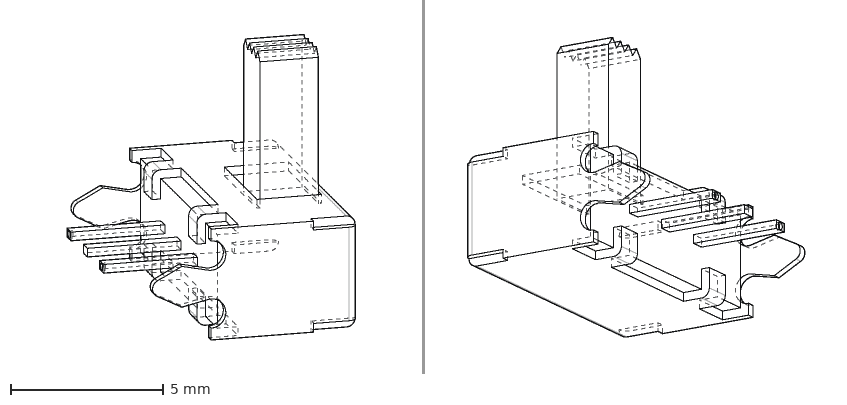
import cadquery as cq
import math

WIDTH = 10.0
HEIGHT = 3.8
DEPTH = 5.0
SHEET = 0.3
BEND_RADIUS = 0.3
CORNER_RELIEF_DEPTH = 1.5
MID_HEIGHT = HEIGHT / 2
INNER_WIDTH = WIDTH - 2 * SHEET

PIN_PITCH = 2.0
PIN_WIDTH = 0.5
PIN_THICKNESS = 0.3
PIN_LENGTH = 2.9
PIN_EMBED = 0.1
DIMPLE_DIAMETER = 0.25
DIMPLE_DEPTH = 0.1

TAB_WIDTH = 1.0
TAB_LENGTH = 1.0
TAB_OFFSET = PIN_PITCH + PIN_WIDTH / 2 + TAB_WIDTH / 2
NOTCH_DEPTH = 1.0

PRONG_LENGTH = 2.0
SHOULDER_REACH = 1.0
SHOULDER_HALF_HEIGHT = 0.7
TIP_RADIUS = 0.3
BITE_RADIUS = 0.5
BITE_OFFSET = 0.99

SLIDER_WIDTH = 2.0
SLIDER_DEPTH = 2.0
SLIDER_LEFT = 0.0
SLIDER_MID_Y = 3.5
SLIDER_TOP = 8.8
TOOTH_COUNT = 4
TOOTH_PITCH = SLIDER_WIDTH / TOOTH_COUNT
TOOTH_HEIGHT = 0.3
WINDOW_WIDTH = 2 * SLIDER_WIDTH
WINDOW_DEPTH = 2.2


def block(x_range, y_range, z_range):
    """Axis-aligned box from its limits along each axis."""
    spans = [high - low for low, high in (x_range, y_range, z_range)]
    corner = (x_range[0], y_range[0], z_range[0])
    return cq.Workplane("XY").box(*spans, centered=False).translate(corner)


def centred(middle, size):
    """Limits of a span of the given size about its middle."""
    return (middle - size / 2, middle + size / 2)


def make_housing():
    """Block with bent back edges and square reliefs at its four back corners."""
    core = block(centred(0, INNER_WIDTH), (SHEET, DEPTH), (0, HEIGHT))
    core = core.faces(">Y").edges("|X").fillet(BEND_RADIUS)
    wrap = block(centred(0, WIDTH), (SHEET, DEPTH), (SHEET, HEIGHT - SHEET))
    wrap = wrap.faces(">Y").edges("|Z").fillet(BEND_RADIUS)
    front = block(centred(0, WIDTH), (SHEET, DEPTH - CORNER_RELIEF_DEPTH), (0, HEIGHT))
    return core.union(wrap).union(front)


def cut_front_notches(housing):
    """Openings in the top and bottom sheets on either side of each tab."""
    tab_inner = TAB_OFFSET - TAB_WIDTH / 2
    tab_outer = TAB_OFFSET + TAB_WIDTH / 2
    side = INNER_WIDTH / 2
    for x_range in ((-side, -tab_outer), (-tab_inner, tab_inner), (tab_outer, side)):
        for bottom in (0, HEIGHT - SHEET):
            housing = housing.cut(block(x_range, (0, NOTCH_DEPTH), (bottom, bottom + SHEET)))
    return housing


def make_tabs():
    """Four tabs bent up or down over the front of the block."""
    tabs = cq.Workplane("XY")
    for x in (-TAB_OFFSET, TAB_OFFSET):
        lower = block(centred(x, TAB_WIDTH), (0, NOTCH_DEPTH), (0, TAB_LENGTH))
        lower = lower.edges("|X and <Y and <Z").fillet(BEND_RADIUS)
        upper = lower.mirror("XY").translate((0, 0, HEIGHT))
        tabs = tabs.union(lower).union(upper)
    return tabs


def tangent_point(centre, radius, outside):
    """Where the line from an outside point touches a circle, counterclockwise of that point."""
    run = outside[0] - centre[0]
    rise = outside[1] - centre[1]
    angle = math.atan2(rise, run) + math.acos(radius / math.hypot(run, rise))
    return (centre[0] + radius * math.cos(angle), centre[1] + radius * math.sin(angle))


def mirrored(point):
    """Same point on the lower half of the prong outline."""
    return (point[0], -point[1])


def make_prong(left):
    """Arrow-shaped prong in the plane of a side wall, starting at the wall's front edge."""
    bite_centre = (0, BITE_OFFSET)
    shoulder = (-SHOULDER_REACH, SHOULDER_HALF_HEIGHT)
    tip_centre = (TIP_RADIUS - PRONG_LENGTH, 0)
    neck = tangent_point(bite_centre, BITE_RADIUS, shoulder)
    tip_start = tangent_point(tip_centre, TIP_RADIUS, shoulder)
    outline = (
        cq.Workplane("YZ")
        .moveTo(*bite_centre)
        .lineTo(*neck)
        .lineTo(*shoulder)
        .lineTo(*tip_start)
        .threePointArc((-PRONG_LENGTH, 0), mirrored(tip_start))
        .lineTo(*mirrored(shoulder))
        .lineTo(*mirrored(neck))
        .lineTo(*mirrored(bite_centre))
        .close()
    )
    return outline.extrude(SHEET).translate((left, 0, MID_HEIGHT))


def make_side_wall(left):
    """Front strip of a side wall together with its prong."""
    strip = block((left, left + SHEET), (0, NOTCH_DEPTH), (0, HEIGHT))
    return strip.union(make_prong(left))


def make_bites(left):
    """Round bites that free the root of a prong, through the wall thickness only."""
    centres = [(0, MID_HEIGHT - BITE_OFFSET), (0, MID_HEIGHT + BITE_OFFSET)]
    bites = cq.Workplane("YZ").pushPoints(centres).circle(BITE_RADIUS).extrude(SHEET)
    return bites.translate((left, 0, 0))


def make_pin(x, dimpled):
    """Straight terminal from the front face; the end ones have a round recess in the tip."""
    y_range = (-PIN_LENGTH, SHEET + PIN_EMBED)
    pin = block(centred(x, PIN_WIDTH), y_range, centred(MID_HEIGHT, PIN_THICKNESS))
    if dimpled:
        tip = pin.faces("<Y").workplane(centerOption="CenterOfMass")
        pin = tip.hole(DIMPLE_DIAMETER, DIMPLE_DEPTH)
    return pin


def make_slider():
    """Slider post standing on the window floor, with a saw-toothed top."""
    valley = SLIDER_TOP - TOOTH_HEIGHT
    outline = cq.Workplane("XZ").moveTo(SLIDER_LEFT, HEIGHT - SHEET).lineTo(SLIDER_LEFT, valley)
    for tooth in range(TOOTH_COUNT):
        start = SLIDER_LEFT + tooth * TOOTH_PITCH
        outline = outline.lineTo(start + TOOTH_PITCH / 2, SLIDER_TOP)
        outline = outline.lineTo(start + TOOTH_PITCH, valley)
    outline = outline.lineTo(SLIDER_LEFT + SLIDER_WIDTH, HEIGHT - SHEET).close()
    slider = outline.extrude(SLIDER_DEPTH / 2, both=True)
    return slider.translate((0, SLIDER_MID_Y, 0))


window = block(
    centred(0, WINDOW_WIDTH), centred(SLIDER_MID_Y, WINDOW_DEPTH), (HEIGHT - SHEET, HEIGHT)
)

result = cut_front_notches(make_housing()).cut(window)
result = result.union(make_tabs()).union(make_slider())

for wall_left in (-WIDTH / 2, WIDTH / 2 - SHEET):
    result = result.union(make_side_wall(wall_left)).cut(make_bites(wall_left))

for pin_number in (-1, 0, 1):
    result = result.union(make_pin(pin_number * PIN_PITCH, dimpled=pin_number != 0))